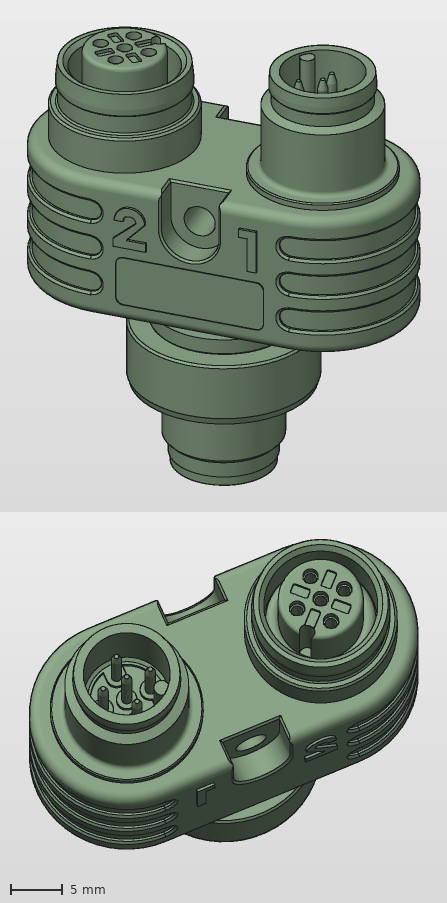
import cadquery as cq
import math

body_length = 39.3
body_width = 18.85
body_height = 15.05
body_edge_radius = 1.0
end_radius = body_width / 2
port_x = body_length / 2 - end_radius
bevel_angle = 45
overlap = 0.45

groove_count = 3
groove_pitch = 4.0
groove_mid_z = 7.6
groove_depth = 0.45
groove_floor = 2.17
run_out_floor = 2.1
groove_bevel = 0.25

mount_hole_diameter = 3.2
mount_z = 11.05
recess_radius = 3.2
recess_depth = 3.05
recess_edge = 0.23

panel_length = 15.25
panel_height = 5.25
panel_z = 4.45
panel_corner = 0.75
panel_depth = 0.1

mark_height = 0.25
mark_z = 10.6
mark_half_height = 2.25
mark_stroke = 0.9
mark_two_x = -6.1
mark_two_half_width = 1.68
mark_two_bow_radius = 1.6
mark_two_notch_x = -0.3
mark_one_x = 6.52
mark_one_flag = 0.9

contact_circle_radius = 2.5
contact_angles = (0, 90, 180, 270)
key_circle_radius = 3.62
key_diameter = 1.5
socket_key_angle = 45
plug_key_angle = 180 - socket_key_angle

socket_base_radius = 14.8 / 2
socket_base_top_z = 18.85
socket_base_edge = 0.23
socket_neck_radius = 6.52
socket_flare = 0.2
socket_bead_z = 21.0
socket_bead_top_z = 21.65
socket_rim_z = 23.35
cavity_top_radius = 12.0 / 2
cavity_radius = 11.0 / 2
cavity_floor_z = 17.65
insert_radius = 4.1
insert_top_z = 24.8
insert_edge = 0.4
seal_tube_radius = 0.7
seal_squeeze = 0.15
socket_hole_mouth = 1.5
socket_mouth_depth = 0.9
socket_hole_diameter = 1.15
socket_hole_depth = 5.45
insert_slot_length = 1.75
insert_slot_width = 1.0
insert_slot_depth = 0.35
insert_slot_radius = 2.15
insert_slot_corner = 0.2
insert_slot_angles = (45, 135, 225, 315)

plug_flange_radius = 14.8 / 2
plug_flange_top_z = 15.75
plug_flange_edge = 0.15
plug_base_fillet = 0.5
plug_barrel_radius = 12.0 / 2
plug_barrel_top_z = 22.65
plug_neck_radius = 10.0 / 2
plug_neck_z = 23.0
plug_head_radius = 10.45 / 2
plug_head_z = 24.6
plug_head_taper_z = 25.25
plug_tip_radius = 10.3 / 2
plug_top_z = 26.27
plug_bore_radius = 8.4 / 2
plug_floor_z = 18.57
plug_step_radius = 3.8
plug_step_depth = 0.23
plug_web_radius = 3.55
plug_web_depth = 0.45
pin_diameter = 1.0
pin_root_depth = 0.9
pin_land_diameter = 2.0
pin_tip_radius = 0.23
pin_tip_height = 1.0
outer_pin_top_z = 24.75
center_pin_top_z = 25.4
plug_key_top_z = 26.0
plug_key_land = 2.25

stem_radius = 9.6 / 2
collar_radius = 6.2
collar_top_z = -0.95
collar_edge = 0.3
collar_lower_edge = 0.2
ring_radius = 14.4 / 2
ring_top_z = -1.65
ring_edge = 0.2
nut_radius = 18.85 / 2
nut_top_z = -3.35
nut_edge = 0.23
nut_bevel_z = -9.15
nut_bevel_step = 0.1
nut_bevel_step_height = 0.2
nut_bottom_z = -9.88
lower_barrel_radius = 12.0 / 2
lower_barrel_edge = 0.45
lower_nose_radius = 10.8 / 2
lower_nose_z = -16.3
lower_tip_radius = 10.4 / 2
lower_tip_z = -18.0
total_height = 45.3
lower_bottom_z = plug_top_z - total_height


def turned(profile, x=0.0):
    """Solid of revolution about a vertical axis from (radius, z) corners; closed along the axis."""
    corners = [(0, profile[0][1])] + profile + [(0, profile[-1][1])]
    return cq.Workplane("XZ").polyline(corners).close().revolve(360, (0, 0), (0, 1)).translate((x, 0, 0))


def rod(diameter, z_low, z_high, x, y=0.0):
    """Vertical cylinder between two heights."""
    return cq.Workplane("XY", (x, y, z_low)).circle(diameter / 2).extrude(z_high - z_low)


def on_circle(radius, angle):
    """X and Y of a point on a circle, with the angle in degrees from +X."""
    return radius * math.cos(math.radians(angle)), radius * math.sin(math.radians(angle))


def face_plane(side, x=0.0, z=0.0):
    """Plane on a long face: local X is world X, local Y is world Z, side -1 is the -Y face."""
    return cq.Workplane("XZ", (x, side * end_radius, z))


def make_body():
    """Rounded-end housing block with all upper and lower edges rounded."""
    body = cq.Workplane("XY").slot2D(body_length, body_width).extrude(body_height)
    return body.faces("|Z").edges().fillet(body_edge_radius)


def end_groove(end, z):
    """Bevelled groove round one end (+1 or -1), closed by rounded run-outs on the long faces."""
    floor_radius = end_radius - groove_depth
    bevel_radius = end_radius - groove_depth / 2
    half_floor = groove_floor / 2
    half_mouth = half_floor + groove_bevel
    profile = [
        (floor_radius, -half_floor),
        (bevel_radius, -half_floor),
        (end_radius, -half_mouth),
        (end_radius + overlap, -half_mouth),
        (end_radius + overlap, half_mouth),
        (end_radius, half_mouth),
        (bevel_radius, half_floor),
        (floor_radius, half_floor),
    ]
    groove = cq.Workplane("XZ").polyline(profile).close().revolve(360, (0, 0), (0, 1))
    outer_half = cq.Workplane("XY").box(body_length, 2 * body_width, body_height)
    groove = groove.intersect(outer_half.translate((end * body_length / 2, 0, 0)))
    for side in (-1, 1):
        groove = groove.union(groove_run_out(side))
    return groove.translate((end * port_x, 0, z))


def groove_run_out(side):
    """Round pocket on a long face with the depth and bevel of the groove it closes."""
    radius = run_out_floor / 2
    pocket = face_plane(side).circle(radius).extrude(side * groove_depth)
    bevel = cq.Solid.makeCone(
        radius + groove_bevel,
        radius,
        groove_depth / 2,
        cq.Vector(0, side * end_radius, 0),
        cq.Vector(0, -side, 0),
    )
    return pocket.union(cq.Workplane(bevel))


def mount_recess(side):
    """U-shaped recess open at the housing top, bevelled along its mouth and its top rim."""
    def outline(radius):
        top = body_height - mount_z + overlap
        return (
            face_plane(side, 0, mount_z)
            .moveTo(-radius, top)
            .lineTo(-radius, 0)
            .threePointArc((0, -radius), (radius, 0))
            .lineTo(radius, top)
            .close()
        )

    inner_radius = recess_radius - recess_edge
    recess = outline(inner_radius).extrude(side * (recess_depth - recess_edge))
    bevel = outline(recess_radius).extrude(side * recess_edge, taper=bevel_angle)
    top_bevel = cq.Workplane("XY", (0, side * end_radius, body_height))
    top_bevel = top_bevel.rect(2 * recess_radius, 2 * recess_depth).extrude(-recess_edge, taper=bevel_angle)
    return recess.union(bevel).union(top_bevel)


def label_panel():
    """Rounded rectangle cut that sinks the label panel."""
    panel = face_plane(-1, 0, panel_z).rect(panel_length, panel_height).extrude(-panel_depth)
    return panel.edges("|Y").fillet(panel_corner)


def mark_two(side):
    """Raised figure 2 beside the female port."""
    half_width = mark_two_half_width
    bow_radius = mark_two_bow_radius
    inner_bow = bow_radius - mark_stroke
    bow_z = mark_half_height - bow_radius
    foot_z = -mark_half_height + mark_stroke
    return (
        face_plane(side, mark_two_x, mark_z)
        .moveTo(-bow_radius, bow_z)
        .threePointArc((0, mark_half_height), (bow_radius, bow_z))
        .lineTo(mark_two_notch_x, foot_z)
        .lineTo(half_width, foot_z)
        .lineTo(half_width, -mark_half_height)
        .lineTo(-half_width, -mark_half_height)
        .lineTo(-half_width, foot_z)
        .lineTo(inner_bow, bow_z)
        .threePointArc((0, bow_z + inner_bow), (-inner_bow, bow_z))
        .close()
        .extrude(-side * mark_height)
    )


def mark_one(side):
    """Raised figure 1 beside the male port."""
    flag_tip = -mark_stroke / 2 - mark_one_flag
    return (
        face_plane(side, mark_one_x, mark_z)
        .moveTo(mark_stroke / 2, -mark_half_height)
        .lineTo(mark_stroke / 2, mark_half_height)
        .lineTo(flag_tip, mark_half_height)
        .lineTo(flag_tip, mark_half_height - mark_stroke)
        .lineTo(-mark_stroke / 2, mark_half_height - mark_stroke)
        .lineTo(-mark_stroke / 2, -mark_half_height)
        .close()
        .extrude(-side * mark_height)
    )


def female_shell():
    """Stepped outer body of the female port, with a cavity bevelled at the rim."""
    bead_radius = socket_neck_radius + socket_flare
    shell = turned(
        [
            (socket_base_radius, body_height - overlap),
            (socket_base_radius, socket_base_top_z - socket_base_edge),
            (socket_base_radius - socket_base_edge, socket_base_top_z),
            (bead_radius, socket_base_top_z),
            (socket_neck_radius, socket_base_top_z + socket_flare),
            (socket_neck_radius, socket_bead_z - socket_flare),
            (bead_radius, socket_bead_z),
            (bead_radius, socket_bead_top_z),
            (socket_neck_radius, socket_rim_z),
        ],
        -port_x,
    )
    cavity = turned(
        [
            (cavity_radius, cavity_floor_z),
            (cavity_radius, socket_rim_z - cavity_top_radius + cavity_radius),
            (cavity_top_radius, socket_rim_z),
        ],
        -port_x,
    )
    return shell.cut(cavity)


def female_insert():
    """Contact carrier with five socket holes, four shallow slots and a keyway."""
    insert = rod(2 * insert_radius, cavity_floor_z - overlap, insert_top_z, 0)
    insert = insert.faces(">Z").edges().fillet(insert_edge)
    hole = rod(socket_hole_diameter, insert_top_z - socket_hole_depth, insert_top_z, 0)
    hole = hole.union(rod(socket_hole_mouth, insert_top_z - socket_mouth_depth, insert_top_z, 0))
    insert = insert.cut(hole)
    for angle in contact_angles:
        insert = insert.cut(hole.translate((*on_circle(contact_circle_radius, angle), 0)))
    for angle in insert_slot_angles:
        slot = cq.Workplane("XY").box(insert_slot_length, insert_slot_width, 2 * insert_slot_depth)
        slot = slot.edges("|Z").fillet(insert_slot_corner)
        slot = slot.translate((insert_slot_radius, 0, insert_top_z))
        insert = insert.cut(slot.rotate((0, 0, 0), (0, 0, 1), angle))
    key_x, key_y = on_circle(key_circle_radius, socket_key_angle)
    keyway = rod(key_diameter, cavity_floor_z, insert_top_z, key_x, key_y)
    return insert.cut(keyway).translate((-port_x, 0, 0))


def female_seal():
    """Sealing ring lying on the cavity floor and squeezed onto the contact carrier."""
    ring_radius_mid = insert_radius + seal_tube_radius - seal_squeeze
    ring_z = cavity_floor_z + seal_tube_radius - seal_squeeze
    ring = cq.Solid.makeTorus(ring_radius_mid, seal_tube_radius, cq.Vector(-port_x, 0, ring_z))
    return cq.Workplane(ring)


def male_shell():
    """Flanged outer body of the male port with its bore."""
    flange = turned(
        [
            (plug_flange_radius, body_height - overlap),
            (plug_flange_radius, plug_flange_top_z - plug_flange_edge),
            (plug_flange_radius - plug_flange_edge, plug_flange_top_z),
        ],
        port_x,
    )
    fillet_mid = plug_base_fillet * (1 - math.sqrt(0.5))
    barrel = (
        cq.Workplane("XZ")
        .moveTo(0, plug_flange_top_z)
        .lineTo(plug_barrel_radius + plug_base_fillet, plug_flange_top_z)
        .threePointArc(
            (plug_barrel_radius + fillet_mid, plug_flange_top_z + fillet_mid),
            (plug_barrel_radius, plug_flange_top_z + plug_base_fillet),
        )
        .lineTo(plug_barrel_radius, plug_barrel_top_z)
        .lineTo(plug_neck_radius, plug_neck_z)
        .lineTo(plug_neck_radius, plug_head_z - (plug_head_radius - plug_neck_radius))
        .lineTo(plug_head_radius, plug_head_z)
        .lineTo(plug_head_radius, plug_head_taper_z)
        .lineTo(plug_tip_radius, plug_top_z)
        .lineTo(0, plug_top_z)
        .close()
        .revolve(360, (0, 0), (0, 1))
        .translate((port_x, 0, 0))
    )
    bore = turned(
        [
            (plug_web_radius, plug_floor_z),
            (plug_step_radius, plug_floor_z),
            (plug_bore_radius, plug_floor_z + plug_step_depth),
            (plug_bore_radius, plug_top_z),
        ],
        port_x,
    )
    return flange.union(barrel).cut(bore)


def male_floor_pocket():
    """Shallow pocket in the bore floor that leaves a land round every pin and the key."""
    bottom_z = plug_floor_z - plug_web_depth
    pocket = rod(2 * plug_web_radius, bottom_z, plug_floor_z, 0)
    pocket = pocket.cut(rod(pin_land_diameter, bottom_z, plug_floor_z, 0))
    for angle in contact_angles:
        land = rod(pin_land_diameter, bottom_z, plug_floor_z, contact_circle_radius)
        bridge = cq.Workplane("XY", (contact_circle_radius + plug_web_radius / 2, 0, bottom_z))
        bridge = bridge.rect(plug_web_radius, pin_land_diameter).extrude(plug_web_depth)
        pocket = pocket.cut(land.union(bridge).rotate((0, 0, 0), (0, 0, 1), angle))
    land_near = plug_web_radius / 2
    land_far = plug_key_land + plug_web_radius / 2
    for x, y in ((-land_near, land_far), (-land_far, land_near)):
        key_land = cq.Workplane("XY", (x, y, bottom_z))
        key_land = key_land.rect(plug_web_radius, plug_web_radius).extrude(plug_web_depth)
        pocket = pocket.cut(key_land)
    return pocket.translate((port_x, 0, 0))


def pin(top_z):
    """Contact pin with a blunt conical tip, rooted below the bore floor."""
    return turned(
        [
            (pin_diameter / 2, plug_floor_z - pin_root_depth),
            (pin_diameter / 2, top_z - pin_tip_height),
            (pin_tip_radius, top_z),
        ],
        port_x,
    )


def male_contacts():
    """Five pins and the coding key that runs up the bore wall."""
    contacts = pin(center_pin_top_z)
    for angle in contact_angles:
        x, y = on_circle(contact_circle_radius, angle)
        contacts = contacts.union(pin(outer_pin_top_z).translate((x, y, 0)))
    key_x, key_y = on_circle(key_circle_radius, plug_key_angle)
    key = rod(key_diameter, plug_floor_z - pin_root_depth, plug_key_top_z, port_x + key_x, key_y)
    return contacts.union(key)


def lower_connector():
    """Stem, collar, ring, union nut, barrel and nose of the cable connector."""
    return turned(
        [
            (stem_radius, overlap),
            (stem_radius, collar_top_z),
            (collar_radius - collar_edge, collar_top_z),
            (collar_radius, collar_top_z - collar_edge),
            (collar_radius, ring_top_z + collar_lower_edge),
            (collar_radius - collar_lower_edge, ring_top_z),
            (ring_radius, ring_top_z),
            (ring_radius, nut_top_z + ring_edge),
            (ring_radius - ring_edge, nut_top_z),
            (nut_radius - nut_edge, nut_top_z),
            (nut_radius, nut_top_z - nut_edge),
            (nut_radius, nut_bevel_z),
            (nut_radius - nut_bevel_step, nut_bevel_z - nut_bevel_step_height),
            (nut_radius - nut_edge, nut_bottom_z),
            (lower_barrel_radius, nut_bottom_z),
            (lower_barrel_radius, lower_nose_z + lower_barrel_edge),
            (lower_barrel_radius - lower_barrel_edge, lower_nose_z),
            (lower_nose_radius, lower_nose_z),
            (lower_nose_radius, lower_tip_z),
            (lower_tip_radius, lower_tip_z),
            (lower_tip_radius, lower_bottom_z),
        ]
    )


housing = make_body()
for end in (-1, 1):
    for step in range(groove_count):
        groove_z = groove_mid_z + (step - (groove_count - 1) / 2) * groove_pitch
        housing = housing.cut(end_groove(end, groove_z))
for side in (-1, 1):
    housing = housing.cut(mount_recess(side))
    housing = housing.union(mark_two(side)).union(mark_one(side))
mount_hole = face_plane(1, 0, mount_z).circle(mount_hole_diameter / 2).extrude(body_width)
housing = housing.cut(mount_hole).cut(label_panel())

female_port = female_shell().union(female_insert()).union(female_seal())
male_port = male_shell().cut(male_floor_pocket()).union(male_contacts())
result = housing.union(female_port).union(male_port).union(lower_connector())